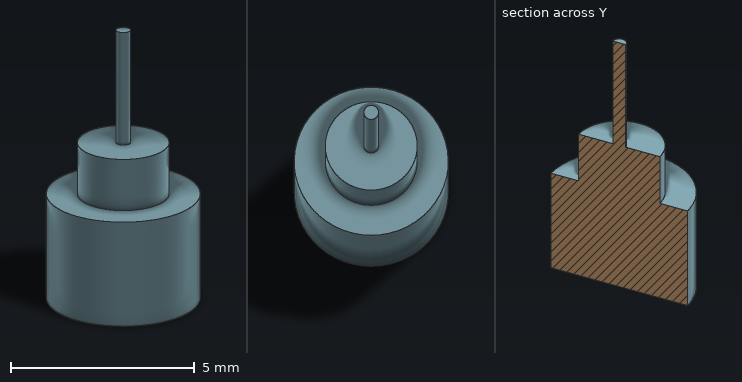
import cadquery as cq

total_height = 7.85

body_diameter = 4.2
body_height = 3.05

collar_diameter = 2.505
collar_height = 1.5

pin_diameter = 0.4
pin_height = total_height - body_height - collar_height


def add_cylinder(part, diameter, height):
    """Stack a centred cylinder on the top face of the part."""
    return part.faces(">Z").workplane().circle(diameter / 2).extrude(height)


result = cq.Workplane("XY").circle(body_diameter / 2).extrude(body_height)
result = add_cylinder(result, collar_diameter, collar_height)
result = add_cylinder(result, pin_diameter, pin_height)